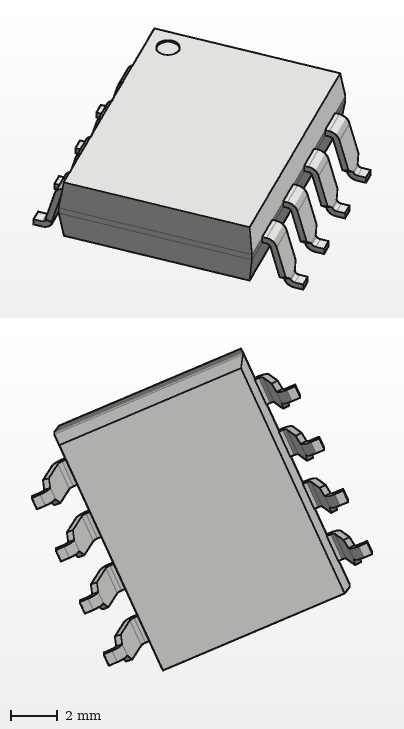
import cadquery as cq
import math

span = 12.3
body_x = 8.82
body_y = 11.3
total_height = 4.01
body_bottom = 1.03
draft = 7.3

dot_diameter = 1.0
dot_depth = 0.1
dot_margin = 1.0

leads_per_side = 4
lead_pitch = 2.53
lead_thickness = 0.3
lead_width = 1.22
foot_width = 0.55
foot_length = 0.39
lead_top = 2.68
lead_slope = 15.0
bend_inner = 0.2

lead_bottom = lead_top - lead_thickness
bend_outer = bend_inner + lead_thickness
slope = math.radians(lead_slope)
taper = (lead_width - foot_width) / 2

foot_start = span / 2 - foot_length
ankle = (foot_start, lead_thickness + bend_inner)
shoulder_z = lead_bottom - bend_inner
leg_drop = shoulder_z - ankle[1]
centre_spacing = bend_inner + bend_outer
leg_run = (centre_spacing + leg_drop * math.sin(slope)) / math.cos(slope)
shoulder = (foot_start - leg_run, shoulder_z)


def polar(centre, radius, angle):
    """Point at a radius and angle (radians, from +X towards +Z) around a centre."""
    return (centre[0] + radius * math.cos(angle), centre[1] + radius * math.sin(angle))


def body_outline(z):
    """Full-size outline of the body at height z."""
    return cq.Workplane("XY").workplane(offset=z).rect(body_x, body_y)


def make_body():
    """Moulded housing: a straight band with drafted halves above and below."""
    upper_height = total_height - lead_top
    lower_height = lead_bottom - body_bottom
    band = body_outline(lead_bottom).extrude(lead_thickness)
    upper = body_outline(lead_top).extrude(upper_height, taper=draft)
    lower = body_outline(lead_bottom).extrude(-lower_height, taper=draft)

    dot_inset = dot_margin + upper_height * math.tan(math.radians(draft))
    dot = (
        cq.Workplane("XY")
        .workplane(offset=total_height)
        .center(dot_inset - body_x / 2, body_y / 2 - dot_inset)
        .circle(dot_diameter / 2)
        .extrude(-dot_depth)
    )
    return band.union(upper).union(lower).cut(dot)


def make_lead():
    """Gull-wing lead on the +X side, centred on Y = 0 and butting the body band."""
    up = math.pi / 2
    down = -math.pi / 2
    leg_side = math.pi + slope
    ankle_mid = leg_side + (up - slope) / 2

    strip = (
        cq.Workplane("XZ")
        .moveTo(body_x / 2, lead_top)
        .lineTo(*polar(shoulder, bend_outer, up))
        .threePointArc(polar(shoulder, bend_outer, (up + slope) / 2), polar(shoulder, bend_outer, slope))
        .lineTo(*polar(ankle, bend_inner, leg_side))
        .threePointArc(polar(ankle, bend_inner, ankle_mid), polar(ankle, bend_inner, down))
        .lineTo(span / 2, lead_thickness)
        .lineTo(span / 2, 0)
        .lineTo(*polar(ankle, bend_outer, down))
        .threePointArc(polar(ankle, bend_outer, ankle_mid), polar(ankle, bend_outer, leg_side))
        .lineTo(*polar(shoulder, bend_inner, slope))
        .threePointArc(polar(shoulder, bend_inner, (up + slope) / 2), polar(shoulder, bend_inner, up))
        .lineTo(body_x / 2, lead_bottom)
        .close()
        .extrude(lead_width / 2, both=True)
    )
    return strip.cut(make_foot_trim())


def make_foot_trim():
    """Two blocks, square to the leg, that narrow the strip to the foot width."""
    trim_length = 1.23
    trim_depth = 1.23
    leg_end_x, leg_end_z = polar(ankle, bend_inner, math.pi + slope)
    leg_plane = cq.Plane(
        origin=(leg_end_x, 0, leg_end_z),
        xDir=(math.sin(slope), 0, -math.cos(slope)),
        normal=(math.cos(slope), 0, math.sin(slope)),
    )
    half_foot = foot_width / 2
    half_lead = lead_width / 2
    block = (
        cq.Workplane(leg_plane)
        .moveTo(-taper, half_lead)
        .lineTo(0, half_foot)
        .lineTo(trim_length, half_foot)
        .lineTo(trim_length, half_lead)
        .close()
        .extrude(trim_depth, both=True)
    )
    return block.union(block.mirror("XZ"))


body = make_body()
lead = make_lead()

leads = []
for side_angle in (0, 180):
    row = lead.rotate((0, 0, 0), (0, 0, 1), side_angle)
    for i in range(leads_per_side):
        y = (i - (leads_per_side - 1) / 2) * lead_pitch
        leads.append(row.translate((0, y, 0)).val())

result = cq.Compound.makeCompound([body.val(), *leads])